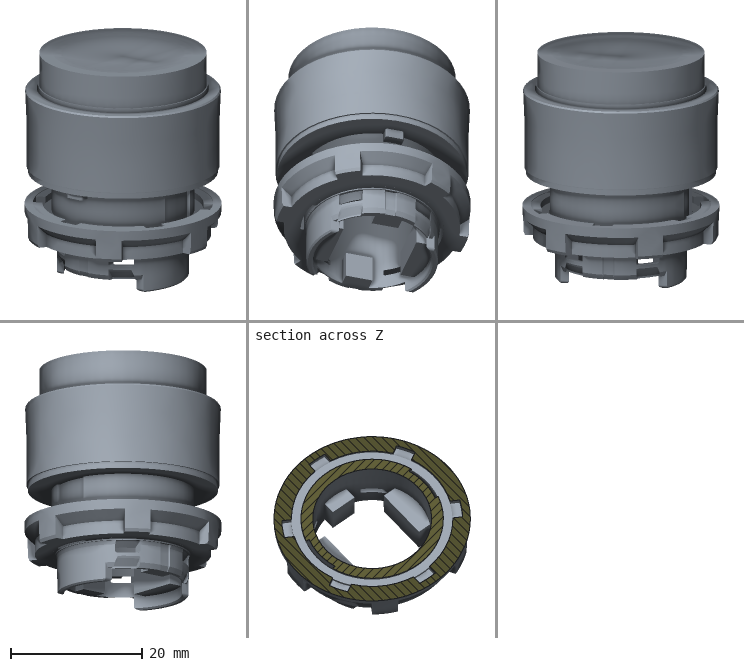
import cadquery as cq
import math

SKIRT_BOTTOM = 2.0
SKIRT_TOP = 6.4
BEZEL_BOTTOM = 16.4
RIM_TOP = 17.4
BEZEL_TOP = 29.6
CAP_STEP = 30.25
TOTAL_HEIGHT = 35.3

SKIRT_RADIUS = 10.03
SKIRT_BORE = 9.0
SKIRT_CHAMFER_WIDTH = 0.32
SKIRT_CHAMFER_HEIGHT = 0.78
FLARE_RADIUS = 10.15
FLARE_HEIGHT = 0.6
COLLAR_RADIUS = 10.3
COLLAR_HEIGHT = 0.2
COLLAR_BOTTOM = SKIRT_TOP - COLLAR_HEIGHT
LEG_HALF_WIDTH = 5.72
LEG_CHAMFER = 0.25
LEG_END_FILLET = 0.5
NECK_RADIUS = 10.87
FLUTE_RADIUS = 10.35
FLUTE_WIDTH = 6.25
RIM_RADIUS = 14.47
BEZEL_BOTTOM_RADIUS = 14.72
BEZEL_WAIST_RADIUS = 14.7
BEZEL_TOP_RADIUS = 14.9
BEZEL_CHAMFER_WIDTH = 0.18
BEZEL_CHAMFER_HEIGHT = 0.25
SOCKET_RADIUS = 13.13

TAB_WIDTH = 2.9
TAB_REACH = 12.2
TAB_HEIGHT = 1.52
TAB_CHAMFER = 0.18

GROOVE_WIDTH = 1.98
GROOVE_FLOOR_WIDTH = 1.55
GROOVE_DEPTH = 0.18

FRONT_GUIDE_WIDTH = 4.25
FRONT_GUIDE_FACE = 6.8
SIDE_GUIDE_WIDTH = 8.47
SIDE_GUIDE_FACE = 5.8

OPENING_INNER_X = 4.2
OPENING_OUTER_X = 7.3
OPENING_INNER_Y = 4.25
WINDOW_BOTTOM = 4.27
WINDOW_TOP = 5.25
WINDOW_FILLET = 0.3
POCKET_TOP = 3.75
POCKET_EDGE_TOP = 3.42
POCKET_SLOPE_BOTTOM = 2.3
POCKET_EDGE_RADIUS = 9.9
POCKET_FLOOR_RADIUS = 9.18
POCKET_BEVEL_WIDTH = 0.3
POCKET_BEVEL_HEIGHT = 0.9

RING_TOP = 11.4
RING_RADIUS = 15.0
RING_BOTTOM_RADIUS = 14.85
BAND_BOTTOM = 9.9
WAIST_TOP = 8.4
WAIST_RADIUS = 13.4
LUG_COUNT = 6
LUG_WIDTH = 3.95
LUG_CHAMFER_WIDTH = 0.2
LUG_CHAMFER_HEIGHT = 0.5
LUG_ANGLE = -1.2
RECESS_RADIUS = 13.73
RECESS_DEPTH = 0.07
WELL_RADIUS = 12.25
WELL_FLOOR = 10.3
NOTCH_WIDTH = 3.0
RING_SLOPE = (RING_RADIUS - RING_BOTTOM_RADIUS) / (RING_TOP - SKIRT_TOP - LUG_CHAMFER_HEIGHT)
BAND_BOTTOM_RADIUS = RING_RADIUS - RING_SLOPE * (RING_TOP - BAND_BOTTOM)

CAP_RADIUS = 12.75
CAP_FLANGE_RADIUS = 12.95
DISH_RIM_RADIUS = 10.7
DISH_RADIUS = 9.3
DISH_EDGE_ANGLE = math.radians(6.6)


def cylinder(radius, bottom, top):
    return cq.Workplane("XY").workplane(offset=bottom).circle(radius).extrude(top - bottom)


def block(x_min, x_max, y_min, y_max, bottom, top):
    size = (x_max - x_min, y_max - y_min, top - bottom)
    return cq.Workplane("XY").box(*size, centered=False).translate((x_min, y_min, bottom))


def revolved(points):
    """Solid of revolution about Z from (radius, height) points."""
    return cq.Workplane("XZ").polyline(points).close().revolve(360, (0, 0), (0, 1))


def all_corners(shape):
    """The shape and its mirror images in the four corners about the Z axis."""
    pair = shape.union(shape.mirror("YZ"))
    return pair.union(pair.mirror("XZ"))


def make_bezel():
    chamfer_z = BEZEL_TOP - BEZEL_CHAMFER_HEIGHT
    side = (
        cq.Workplane("XZ")
        .moveTo(0, BEZEL_BOTTOM)
        .lineTo(RIM_RADIUS, BEZEL_BOTTOM)
        .lineTo(RIM_RADIUS, RIM_TOP)
        .lineTo(BEZEL_BOTTOM_RADIUS, RIM_TOP)
        .threePointArc((BEZEL_WAIST_RADIUS, (RIM_TOP + chamfer_z) / 2), (BEZEL_TOP_RADIUS, chamfer_z))
        .lineTo(BEZEL_TOP_RADIUS - BEZEL_CHAMFER_WIDTH, BEZEL_TOP)
        .lineTo(0, BEZEL_TOP)
        .close()
        .revolve(360, (0, 0), (0, 1))
    )
    return side.cut(cylinder(SOCKET_RADIUS, RIM_TOP, BEZEL_TOP))


def make_neck():
    """Tubular neck with a shallow concentric flute on the left and right."""
    neck = cylinder(NECK_RADIUS, SKIRT_TOP, BEZEL_BOTTOM)
    flutes = block(
        -NECK_RADIUS, NECK_RADIUS, -FLUTE_WIDTH / 2, FLUTE_WIDTH / 2, SKIRT_TOP, BEZEL_BOTTOM
    ).cut(cylinder(FLUTE_RADIUS, SKIRT_TOP, BEZEL_BOTTOM))
    return neck.cut(flutes).cut(cylinder(SKIRT_BORE, SKIRT_TOP, BEZEL_BOTTOM))


def make_tab():
    tab = block(
        -TAB_WIDTH / 2, TAB_WIDTH / 2, -TAB_REACH, -FLUTE_RADIUS, BEZEL_BOTTOM - TAB_HEIGHT, BEZEL_BOTTOM
    )
    return tab.faces("<Y").edges("|Z").chamfer(TAB_CHAMFER)


def make_skirt():
    flare_bottom = COLLAR_BOTTOM - FLARE_HEIGHT
    skirt = revolved(
        [
            (SKIRT_BORE, SKIRT_BOTTOM),
            (SKIRT_RADIUS - SKIRT_CHAMFER_WIDTH, SKIRT_BOTTOM),
            (SKIRT_RADIUS, SKIRT_BOTTOM + SKIRT_CHAMFER_HEIGHT),
            (SKIRT_RADIUS, flare_bottom),
            (FLARE_RADIUS, COLLAR_BOTTOM),
            (COLLAR_RADIUS, COLLAR_BOTTOM),
            (COLLAR_RADIUS, SKIRT_TOP),
            (SKIRT_BORE, SKIRT_TOP),
        ]
    )
    return skirt.cut(all_corners(make_window())).cut(all_corners(make_pocket())).cut(make_grooves())


def make_window():
    """Cutter for one window, whose ceiling is a cone rising outwards."""
    opening = block(
        OPENING_INNER_X, OPENING_OUTER_X, OPENING_INNER_Y, COLLAR_RADIUS, WINDOW_BOTTOM, COLLAR_BOTTOM
    )
    opening = opening.faces("<Z").edges("|Y").fillet(WINDOW_FILLET)
    rise = COLLAR_BOTTOM - WINDOW_TOP
    ceiling = revolved(
        [
            (0, WINDOW_TOP),
            (SKIRT_BORE, WINDOW_TOP),
            (SKIRT_BORE + rise, COLLAR_BOTTOM),
            (0, COLLAR_BOTTOM),
        ]
    )
    return opening.cut(ceiling)


def make_pocket():
    """Cutter for one snap pocket, whose back is a cone over a cylindrical floor."""
    outline = [
        (OPENING_INNER_X, SKIRT_BOTTOM),
        (OPENING_OUTER_X, SKIRT_BOTTOM),
        (OPENING_OUTER_X, POCKET_TOP - POCKET_BEVEL_HEIGHT),
        (OPENING_OUTER_X - POCKET_BEVEL_WIDTH, POCKET_TOP),
        (OPENING_INNER_X, POCKET_TOP),
    ]
    opening = cq.Workplane("XZ").polyline(outline).close().extrude(-COLLAR_RADIUS)
    core = revolved(
        [
            (0, SKIRT_BOTTOM),
            (POCKET_FLOOR_RADIUS, SKIRT_BOTTOM),
            (POCKET_FLOOR_RADIUS, POCKET_SLOPE_BOTTOM),
            (POCKET_EDGE_RADIUS, POCKET_EDGE_TOP),
            (SKIRT_RADIUS, POCKET_TOP),
            (0, POCKET_TOP),
        ]
    )
    return opening.cut(core)


def make_grooves():
    """Cutter whose floor follows the skirt wall and its bottom chamfer."""
    floor = SKIRT_RADIUS - GROOVE_DEPTH
    side_profile = [
        (-COLLAR_RADIUS, SKIRT_BOTTOM),
        (SKIRT_CHAMFER_WIDTH - floor, SKIRT_BOTTOM),
        (-floor, SKIRT_BOTTOM + SKIRT_CHAMFER_HEIGHT),
        (-floor, COLLAR_BOTTOM),
        (-COLLAR_RADIUS, COLLAR_BOTTOM),
    ]
    groove = cq.Workplane("YZ").polyline(side_profile).close().extrude(GROOVE_WIDTH, both=True)
    draft_profile = [
        (-GROOVE_WIDTH / 2, -COLLAR_RADIUS),
        (GROOVE_WIDTH / 2, -COLLAR_RADIUS),
        (GROOVE_WIDTH / 2, -SKIRT_RADIUS),
        (GROOVE_FLOOR_WIDTH / 2, -floor),
        (GROOVE_FLOOR_WIDTH / 2, -SKIRT_BORE),
        (-GROOVE_FLOOR_WIDTH / 2, -SKIRT_BORE),
        (-GROOVE_FLOOR_WIDTH / 2, -floor),
        (-GROOVE_WIDTH / 2, -SKIRT_RADIUS),
    ]
    groove = groove.intersect(cq.Workplane("XY").polyline(draft_profile).close().extrude(SKIRT_TOP))
    return groove.union(groove.mirror("XZ"))


def make_leg_pair():
    """Two arc-shaped legs on the left and right, with eased feet."""
    tube = revolved(
        [
            (SKIRT_BORE + LEG_CHAMFER, 0),
            (SKIRT_RADIUS - LEG_CHAMFER, 0),
            (SKIRT_RADIUS, LEG_CHAMFER),
            (SKIRT_RADIUS, WINDOW_BOTTOM),
            (SKIRT_BORE, WINDOW_BOTTOM),
            (SKIRT_BORE, LEG_CHAMFER),
        ]
    )
    slab = block(-SKIRT_RADIUS, SKIRT_RADIUS, -LEG_HALF_WIDTH, LEG_HALF_WIDTH, 0, WINDOW_BOTTOM)
    return tube.intersect(slab.faces("<Z").edges("|X").fillet(LEG_END_FILLET))


def make_guides():
    """Blocks on the bore at the front, back, left and right, above the bottom of the skirt."""
    front_back = block(
        -FRONT_GUIDE_WIDTH / 2, FRONT_GUIDE_WIDTH / 2, -SKIRT_BORE, SKIRT_BORE, SKIRT_BOTTOM, SKIRT_TOP
    )
    left_right = block(
        -SKIRT_BORE, SKIRT_BORE, -SIDE_GUIDE_WIDTH / 2, SIDE_GUIDE_WIDTH / 2, SKIRT_BOTTOM, SKIRT_TOP
    )
    opening = block(
        -SIDE_GUIDE_FACE, SIDE_GUIDE_FACE, -FRONT_GUIDE_FACE, FRONT_GUIDE_FACE, SKIRT_BOTTOM, SKIRT_TOP
    )
    outside = cylinder(SKIRT_BORE, SKIRT_BOTTOM, SKIRT_TOP)
    return front_back.union(left_right).cut(opening).intersect(outside)


def make_housing():
    lower = make_skirt().union(make_leg_pair()).union(make_guides())
    return make_bezel().union(make_neck()).union(make_tab()).union(lower)


def around_ring(shape, start_angle):
    """One copy of the shape, which lies along +X, at every lug pitch."""
    copies = cq.Workplane("XY")
    for index in range(LUG_COUNT):
        angle = start_angle + index * 360 / LUG_COUNT
        copies = copies.union(shape.rotate((0, 0, 0), (0, 0, 1), angle))
    return copies


def make_lugs():
    envelope = revolved(
        [
            (NECK_RADIUS, SKIRT_TOP),
            (RING_BOTTOM_RADIUS - LUG_CHAMFER_WIDTH, SKIRT_TOP),
            (RING_BOTTOM_RADIUS, SKIRT_TOP + LUG_CHAMFER_HEIGHT),
            (RING_RADIUS, RING_TOP),
            (NECK_RADIUS, RING_TOP),
        ]
    )
    bar = block(NECK_RADIUS, RING_RADIUS, -LUG_WIDTH / 2, LUG_WIDTH / 2, SKIRT_TOP, BAND_BOTTOM)
    return around_ring(bar, LUG_ANGLE).intersect(envelope)


def make_clamp_ring():
    ring = revolved(
        [
            (NECK_RADIUS, SKIRT_TOP),
            (WAIST_RADIUS, SKIRT_TOP),
            (WAIST_RADIUS, WAIST_TOP),
            (BAND_BOTTOM_RADIUS, BAND_BOTTOM),
            (RING_RADIUS, RING_TOP),
            (RECESS_RADIUS, RING_TOP),
            (RECESS_RADIUS, RING_TOP - RECESS_DEPTH),
            (WELL_RADIUS, RING_TOP - RECESS_DEPTH),
            (WELL_RADIUS, WELL_FLOOR),
            (NECK_RADIUS, WELL_FLOOR),
        ]
    )
    annulus = cylinder(RECESS_RADIUS, BAND_BOTTOM, RING_TOP).cut(
        cylinder(WELL_RADIUS, BAND_BOTTOM, RING_TOP)
    )
    slot = block(NECK_RADIUS, RING_RADIUS, -NOTCH_WIDTH / 2, NOTCH_WIDTH / 2, BAND_BOTTOM, RING_TOP)
    notches = around_ring(slot, LUG_ANGLE + 180 / LUG_COUNT).intersect(annulus)
    return ring.union(make_lugs()).cut(notches)


def make_cap():
    """Flanged button whose dished top runs out through a tangent blend."""
    drop_ratio = math.tan(DISH_EDGE_ANGLE / 2)
    dish_edge_z = TOTAL_HEIGHT - (DISH_RIM_RADIUS - DISH_RADIUS) * drop_ratio
    dish_bottom_z = dish_edge_z - DISH_RADIUS * drop_ratio
    return (
        cq.Workplane("XZ")
        .moveTo(0, RIM_TOP)
        .lineTo(CAP_FLANGE_RADIUS, RIM_TOP)
        .lineTo(CAP_FLANGE_RADIUS, CAP_STEP)
        .lineTo(CAP_RADIUS, CAP_STEP)
        .lineTo(CAP_RADIUS, TOTAL_HEIGHT)
        .lineTo(DISH_RIM_RADIUS, TOTAL_HEIGHT)
        .tangentArcPoint((DISH_RADIUS, dish_edge_z), relative=False)
        .tangentArcPoint((0, dish_bottom_z), relative=False)
        .close()
        .revolve(360, (0, 0), (0, 1))
    )


housing = make_housing()
clamp_ring = make_clamp_ring()
cap = make_cap()

result = cq.Compound.makeCompound([housing.val(), clamp_ring.val(), cap.val()])